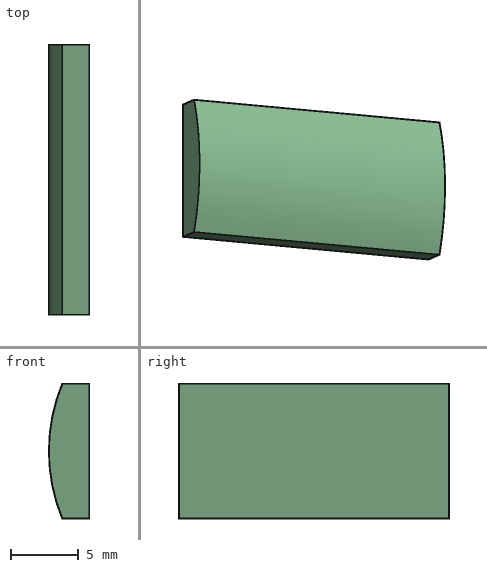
import cadquery as cq

length = 20.0
height = 10.0
edge_thickness = 2.0
crown_rise = 1.0

half_height = height / 2

profile = (
    cq.Workplane("XZ")
    .moveTo(0, -half_height)
    .lineTo(0, half_height)
    .lineTo(-edge_thickness, half_height)
    .threePointArc(
        (-edge_thickness - crown_rise, 0),
        (-edge_thickness, -half_height),
    )
    .close()
)

result = profile.extrude(length / 2, both=True)